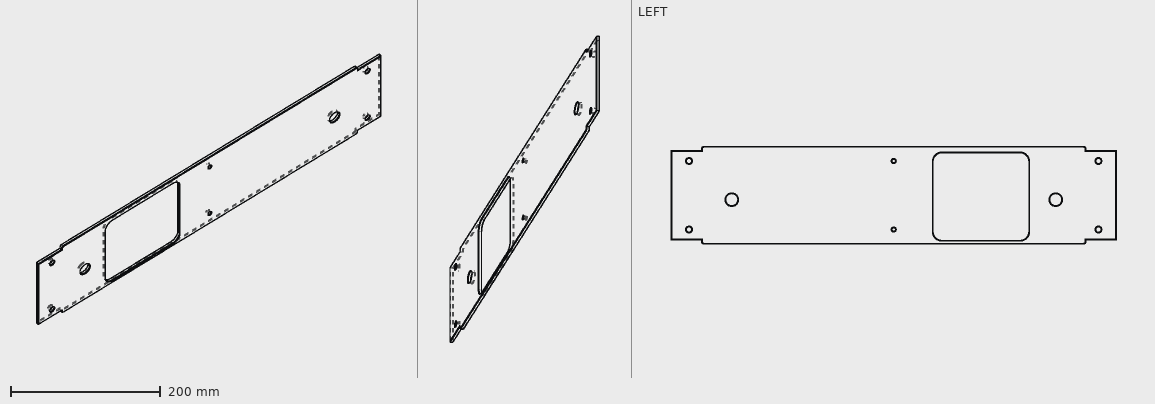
import cadquery as cq
LENGTH = 595.0
HEIGHT = 131.0
THICKNESS = 5.0

EDGE_CHAMFER = 1.0

TAB_LENGTH = 40.5
TAB_HEIGHT = 119.5

BODY_CORNER_RADIUS = 3.5

WINDOW_WIDTH = 128.0
WINDOW_HEIGHT = 117.0
WINDOW_RADIUS = 12.0
WINDOW_CENTRE_Y = -116.5
WINDOW_CENTRE_Z = -2.0

FIXING_ROW_Z = 46.0
END_HOLE_INSET = 24.0
END_HOLE_DIAMETER = 7.0
MIDDLE_HOLE_DIAMETER = 5.0

LARGE_HOLE_DIAMETER = 16.0
LARGE_HOLE_Y = 216.5
LARGE_HOLE_Z = -6.0


def block(width, height):
    """Plate-thick rectangular block, centred on the origin."""
    return cq.Workplane("XY").box(THICKNESS, width, height)


def hole_pins(diameter, centres):
    """Cutting pins through the plate thickness at the given (Y, Z) centres."""
    return (
        cq.Workplane("YZ")
        .pushPoints(centres)
        .circle(diameter / 2)
        .extrude(THICKNESS, both=True)
    )


body = block(LENGTH - 2 * TAB_LENGTH, HEIGHT).edges("|X").fillet(BODY_CORNER_RADIUS)
outline = block(LENGTH, TAB_HEIGHT).union(body)

window = (
    block(WINDOW_WIDTH, WINDOW_HEIGHT)
    .edges("|X")
    .fillet(WINDOW_RADIUS)
    .translate((0, WINDOW_CENTRE_Y, WINDOW_CENTRE_Z))
)

SIDES = (-1, 1)
end_hole_y = LENGTH / 2 - END_HOLE_INSET
end_centres = [(side * end_hole_y, row * FIXING_ROW_Z) for side in SIDES for row in SIDES]
middle_centres = [(0, row * FIXING_ROW_Z) for row in SIDES]
large_centres = [(side * LARGE_HOLE_Y, LARGE_HOLE_Z) for side in SIDES]

plate = (
    outline.cut(window)
    .cut(hole_pins(END_HOLE_DIAMETER, end_centres))
    .cut(hole_pins(MIDDLE_HOLE_DIAMETER, middle_centres))
    .cut(hole_pins(LARGE_HOLE_DIAMETER, large_centres))
)

result = plate.faces("<X or >X").edges().chamfer(EDGE_CHAMFER)